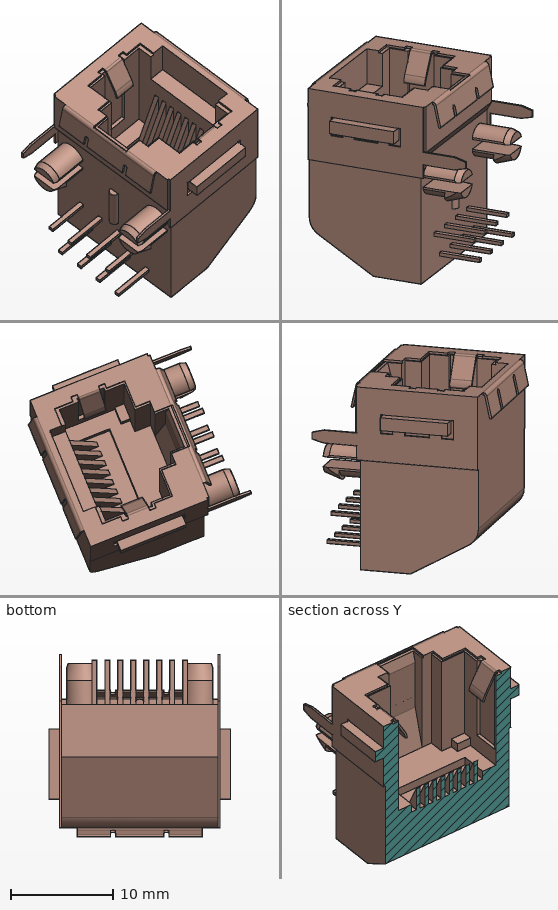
import cadquery as cq
import math


HEIGHT = 18.67
HALF_WIDTH = 7.65
BACK_Y = 12.08
UPPER_FRONT_Y = -0.5
UPPER_FRONT_BOTTOM = HEIGHT - 4.8
STEP_SLOPE = 30.0
BOTTOM_BACK_Y = 5.13
BOTTOM_SLOPE = 30.0
BACK_CORNER_RADIUS = 2.0

SHEET = 0.22
SHIELD_HALF_WIDTH = HALF_WIDTH + SHEET
SHIELD_BOTTOM = HEIGHT - 7.45
SHIELD_FRONT_Y = -0.32
SHEET_MID_Z = HEIGHT - SHEET / 2
SHEET_UNDERSIDE = HEIGHT - SHEET

CAVITY_HALF_WIDTH = 5.97
CAVITY_FRONT_Y = 2.91
CAVITY_BACK_Y = 9.75
FLOOR_Z = 7.47
KEYWAY_HALF_WIDTH = 3.17
KEYWAY_FRONT_Y = 1.25
OPENING_MARGIN = 0.22
OPENING_BACK_Y = 10.15
OPENING_FRONT_Y = 2.76
RECESS_HALF_WIDTH = 4.37
RECESS_BACK_Y = 11.43
RECESS_DEPTH = 3.65
CORNER_BLOCK_BACK_Y = 3.9
CORNER_BLOCK_HEIGHT = 0.93

LATCH_HALF_WIDTH = 2.04
LATCH_FRONT_Y = -0.19
LATCH_SLOPE = 14.7
LATCH_LAND_Y = 0.13
LATCH_SHEET_HALF_WIDTH = 2.22
LATCH_SHEET_FRONT_Y = -0.67

CONTACT_COUNT = 8
CONTACT_PITCH = 1.015
CONTACT_WIDTH = 0.5
CONTACT_TOP_Z = HEIGHT - 5.62
CONTACT_FRONT_Y = 6.7
CONTACT_PIT_FRONT_Y = 5.1
CONTACT_PIT_Z = 6.53

FINGER_FRONT_Y = 5.34
FINGER_BACK_Y = 7.58
FINGER_ROOT_X = 6.37
FINGER_ROOT_BEND = 0.17
FINGER_TIP_X = 4.76
FINGER_ANGLE = 30.0
FINGER_BEND = 1.87
FINGER_TIP_ANGLE = 8.0
FINGER_POCKET_X = 6.35
FINGER_POCKET_FRONT_Y = 4.91
FINGER_POCKET_BACK_Y = 7.73
FINGER_POCKET_Z = 9.34
RELIEF_X = 6.68
RELIEF_LENGTH = 0.65

FLAP_HALF_WIDTH = 6.15
FLAP_ROOT_Y = -0.5
FLAP_BEND = 0.32
FLAP_ANGLE = 12.5
FLAP_DEPTH = 2.63
FLAP_NOTCH_X = 2.61
FLAP_NOTCH_WIDTH = 0.49
FRONT_NOTCH_DEPTH = 1.45
BACK_NOTCH_DEPTH = 0.56
MIDDLE_Y = (BACK_Y + UPPER_FRONT_Y) / 2

BAR_X = 8.89
BAR_FRONT_Y = 2.39
BAR_BACK_Y = 9.3
BAR_TOP = HEIGHT - 2.63
BAR_BOTTOM = HEIGHT - 3.94
WINDOW_FRONT_Y = 2.13
WINDOW_BACK_Y = 9.6
WINDOW_BOTTOM = HEIGHT - 4.55
BRIDGE_WIDTH = 1.25
BRIDGE_OFFSET = 1.89

TANG_TIP_Y = -4.9
TANG_TAPER_Y = -3.7
TANG_TOP = HEIGHT - 4.7
TANG_BOTTOM = HEIGHT - 6.01
TANG_TIP_INSET = 0.32

PEG_X = 5.71
PEG_Z = 10.53
PEG_RADIUS = 1.62
PEG_HALF_WIDTH = 1.45
PEG_LENGTH = 4.01
PEG_GAP = 1.03
BARB_START = 2.32
BARB_RADIUS = 1.96
PEG_TIP_RADIUS = 1.4

RIB_RADIUS = 0.52
RIB_CENTRE_Y = 0.02
RIB_TOP = HEIGHT - 8.66
RIB_BOTTOM = HEIGHT - 13.22

PIN_LENGTH = 4.33
PIN_WIDTH = 0.5
PIN_HEIGHT = 0.35
PIN_PITCH = 1.27
PIN_ROW_Z = (4.2, 1.68)

ROOT = 0.19


def block(x0, x1, y0, y1, z0, z1):
    """Box between two opposite corners."""
    return cq.Workplane("XY").box(x1 - x0, y1 - y0, z1 - z0, centered=False).translate((x0, y0, z0))


def wide_block(half_width, y0, y1, z0, z1):
    """Box centred on X = 0."""
    return block(-half_width, half_width, y0, y1, z0, z1)


def both_sides(shape):
    """The shape together with its mirror image in X."""
    return shape.union(shape.mirror("YZ"))


def side_profile(points, half_width):
    """Closed (y, z) outline extruded evenly to both sides of X = 0."""
    return cq.Workplane("YZ").polyline(points).close().extrude(half_width, both=True)


def make_housing():
    step_drop = -UPPER_FRONT_Y / math.tan(math.radians(STEP_SLOPE))
    back_corner_z = (BACK_Y - BOTTOM_BACK_Y) * math.tan(math.radians(BOTTOM_SLOPE))
    outline = [
        (0, 0),
        (BOTTOM_BACK_Y, 0),
        (BACK_Y, back_corner_z),
        (BACK_Y, HEIGHT),
        (UPPER_FRONT_Y, HEIGHT),
        (UPPER_FRONT_Y, UPPER_FRONT_BOTTOM),
        (0, UPPER_FRONT_BOTTOM - step_drop),
    ]
    housing = side_profile(outline, HALF_WIDTH)
    back_corner = cq.selectors.NearestToPointSelector((0, BACK_Y, back_corner_z))
    return housing.edges(back_corner).fillet(BACK_CORNER_RADIUS)


def make_shield_sides():
    plate = block(HALF_WIDTH, SHIELD_HALF_WIDTH, SHIELD_FRONT_Y, BACK_Y, SHIELD_BOTTOM, HEIGHT)
    window = block(HALF_WIDTH, SHIELD_HALF_WIDTH, WINDOW_FRONT_Y, WINDOW_BACK_Y, WINDOW_BOTTOM, BAR_TOP)
    plate = plate.cut(window)
    window_middle = (WINDOW_FRONT_Y + WINDOW_BACK_Y) / 2
    for side in (-1, 1):
        y = window_middle + side * BRIDGE_OFFSET
        plate = plate.union(block(HALF_WIDTH - ROOT, SHIELD_HALF_WIDTH, y - BRIDGE_WIDTH / 2,
                                  y + BRIDGE_WIDTH / 2, WINDOW_BOTTOM, BAR_BOTTOM))
    bar = block(HALF_WIDTH - ROOT, BAR_X, BAR_FRONT_Y, BAR_BACK_Y, BAR_BOTTOM, BAR_TOP)
    return both_sides(plate.union(bar))


def make_tangs():
    outline = [
        (SHIELD_FRONT_Y + ROOT, TANG_BOTTOM),
        (TANG_TAPER_Y, TANG_BOTTOM),
        (TANG_TIP_Y, TANG_BOTTOM + TANG_TIP_INSET),
        (TANG_TIP_Y, TANG_TOP - TANG_TIP_INSET),
        (TANG_TAPER_Y, TANG_TOP),
        (SHIELD_FRONT_Y + ROOT, TANG_TOP),
    ]
    tang = cq.Workplane("YZ", origin=(HALF_WIDTH, 0, 0)).polyline(outline).close().extrude(SHEET)
    return both_sides(tang)


def make_flap_notch(depth):
    """Round-topped notch cutter for the front flap, its top at the given depth below the shield top."""
    radius = FLAP_NOTCH_WIDTH / 2
    centre_z = HEIGHT - depth - radius
    bottom_z = HEIGHT - FLAP_DEPTH - ROOT
    return (
        cq.Workplane("XZ", origin=(FLAP_NOTCH_X, UPPER_FRONT_Y, 0))
        .moveTo(-radius, bottom_z)
        .lineTo(-radius, centre_z)
        .threePointArc((0, centre_z + radius), (radius, centre_z))
        .lineTo(radius, bottom_z)
        .close()
        .extrude(FLAP_DEPTH)
    )


def make_flaps():
    """Spring flaps that curl over the front and back top edges of the shield."""
    angle = math.radians(FLAP_ANGLE)
    bend_z = SHEET_MID_Z - FLAP_BEND

    def on_bend(a):
        return (FLAP_ROOT_Y - FLAP_BEND * math.cos(a), bend_z + FLAP_BEND * math.sin(a))

    bend_end = on_bend(angle)
    tip_z = HEIGHT - FLAP_DEPTH + SHEET / 2
    tip_y = bend_end[0] - (bend_end[1] - tip_z) * math.tan(angle)
    flap = (
        cq.Workplane("YZ", origin=(-FLAP_HALF_WIDTH, 0, 0))
        .moveTo(UPPER_FRONT_Y + ROOT, SHEET_MID_Z)
        .lineTo(FLAP_ROOT_Y, SHEET_MID_Z)
        .threePointArc(on_bend((angle + math.pi / 2) / 2), bend_end)
        .lineTo(tip_y, tip_z)
        .offset2D(SHEET / 2)
        .extrude(2 * FLAP_HALF_WIDTH)
    )
    front_flap = flap.cut(both_sides(make_flap_notch(FRONT_NOTCH_DEPTH)))
    back_flap = flap.cut(both_sides(make_flap_notch(BACK_NOTCH_DEPTH))).mirror("XZ", (0, MIDDLE_Y, 0))
    return front_flap.union(back_flap)


def make_cavity():
    """Plug cavity below the shield, with its keyway, contact recesses and latch slot."""
    cavity = wide_block(CAVITY_HALF_WIDTH, CAVITY_FRONT_Y, CAVITY_BACK_Y, FLOOR_Z, HEIGHT)
    corner = block(RECESS_HALF_WIDTH, CAVITY_HALF_WIDTH, CAVITY_FRONT_Y, CORNER_BLOCK_BACK_Y,
                   FLOOR_Z, FLOOR_Z + CORNER_BLOCK_HEIGHT)
    cavity = cavity.cut(both_sides(corner))
    keyway = wide_block(KEYWAY_HALF_WIDTH, KEYWAY_FRONT_Y, CAVITY_FRONT_Y, FLOOR_Z, HEIGHT)
    recess = wide_block(RECESS_HALF_WIDTH, CAVITY_BACK_Y, RECESS_BACK_Y, HEIGHT - RECESS_DEPTH, HEIGHT)
    pit = wide_block(RECESS_HALF_WIDTH, CONTACT_PIT_FRONT_Y, CAVITY_BACK_Y, CONTACT_PIT_Z, FLOOR_Z)
    pocket = wide_block(FINGER_POCKET_X, FINGER_POCKET_FRONT_Y, FINGER_POCKET_BACK_Y,
                        FINGER_POCKET_Z, SHEET_UNDERSIDE)
    slope = math.tan(math.radians(LATCH_SLOPE))
    land_top_z = SHEET_UNDERSIDE - (LATCH_LAND_Y - LATCH_FRONT_Y) / slope
    land_bottom_z = FLOOR_Z + (KEYWAY_FRONT_Y - LATCH_LAND_Y) / slope
    latch_outline = [
        (KEYWAY_FRONT_Y, FLOOR_Z),
        (LATCH_LAND_Y, land_bottom_z),
        (LATCH_LAND_Y, land_top_z),
        (LATCH_FRONT_Y, SHEET_UNDERSIDE),
        (KEYWAY_FRONT_Y, SHEET_UNDERSIDE),
    ]
    latch = side_profile(latch_outline, LATCH_HALF_WIDTH)
    for part in (keyway, recess, pit, pocket, latch):
        cavity = cavity.union(part)
    return cavity


def make_shield_opening():
    """Opening through the top sheet only, slightly larger than the cavity."""
    half_width = CAVITY_HALF_WIDTH + OPENING_MARGIN
    z_range = (SHEET_UNDERSIDE, HEIGHT)
    opening = wide_block(half_width, OPENING_FRONT_Y, OPENING_BACK_Y, *z_range)
    keyway = wide_block(KEYWAY_HALF_WIDTH + OPENING_MARGIN, KEYWAY_FRONT_Y, OPENING_FRONT_Y, *z_range)
    latch = wide_block(LATCH_SHEET_HALF_WIDTH, LATCH_SHEET_FRONT_Y, KEYWAY_FRONT_Y, *z_range)
    front_relief = wide_block(RELIEF_X, FINGER_FRONT_Y - RELIEF_LENGTH, FINGER_FRONT_Y, *z_range)
    back_relief = wide_block(RELIEF_X, FINGER_BACK_Y, FINGER_BACK_Y + RELIEF_LENGTH, *z_range)
    finger_gap = wide_block(FINGER_ROOT_X, FINGER_FRONT_Y, FINGER_BACK_Y, *z_range)
    for part in (keyway, latch, front_relief, back_relief, finger_gap):
        opening = opening.union(part)
    return opening


def make_fingers():
    """Spring fingers sloping into the cavity and steepening towards the tip."""
    angle = math.radians(FINGER_ANGLE)
    tip_angle = math.radians(FINGER_TIP_ANGLE)
    root_centre_z = SHEET_MID_Z - FINGER_ROOT_BEND

    def on_root_bend(a):
        x = FINGER_ROOT_X - FINGER_ROOT_BEND * math.cos(a)
        return (x, root_centre_z + FINGER_ROOT_BEND * math.sin(a))

    slope_top_x, slope_top_z = on_root_bend(angle)
    slope_bottom_x = FINGER_TIP_X + FINGER_BEND * (1 - math.cos(angle))
    slope_bottom_z = slope_top_z - (slope_top_x - slope_bottom_x) / math.tan(angle)
    tip_centre_z = slope_bottom_z - FINGER_BEND * math.sin(angle)

    def on_tip_bend(a):
        x = FINGER_TIP_X + FINGER_BEND * (1 - math.cos(a))
        return (x, tip_centre_z + FINGER_BEND * math.sin(a))

    finger = (
        cq.Workplane("XZ", origin=(0, FINGER_BACK_Y, 0))
        .moveTo(RELIEF_X, SHEET_MID_Z)
        .lineTo(FINGER_ROOT_X, SHEET_MID_Z)
        .threePointArc(on_root_bend((angle + math.pi / 2) / 2), on_root_bend(angle))
        .lineTo(slope_bottom_x, slope_bottom_z)
        .threePointArc(on_tip_bend((angle + tip_angle) / 2), on_tip_bend(tip_angle))
        .offset2D(SHEET / 2)
        .extrude(FINGER_BACK_Y - FINGER_FRONT_Y)
    )
    return both_sides(finger)


def make_contacts():
    """Contact blades sloping from the back wall of the cavity down into the pit."""
    outline = [
        (CAVITY_BACK_Y, CONTACT_TOP_Z),
        (CAVITY_BACK_Y + ROOT, CONTACT_TOP_Z),
        (CAVITY_BACK_Y + ROOT, CONTACT_PIT_Z - ROOT),
        (CONTACT_FRONT_Y, CONTACT_PIT_Z - ROOT),
        (CONTACT_FRONT_Y, CONTACT_PIT_Z),
    ]
    blade = side_profile(outline, CONTACT_WIDTH / 2)
    contacts = cq.Workplane("XY")
    for i in range(CONTACT_COUNT):
        contacts = contacts.add(blade.translate(((i - (CONTACT_COUNT - 1) / 2) * CONTACT_PITCH, 0, 0)))
    return contacts.combine()


def make_pegs():
    """Split pegs: a plain upper half, and a lower half with a snap barb."""
    half_outline = [
        (0, -ROOT),
        (PEG_RADIUS, -ROOT),
        (PEG_RADIUS, BARB_START),
        (BARB_RADIUS, BARB_START),
        (PEG_TIP_RADIUS, PEG_LENGTH),
        (0, PEG_LENGTH),
    ]
    barbed = cq.Workplane("XY").polyline(half_outline).close().revolve(360, (0, 0, 0), (0, 1, 0))
    barbed = barbed.rotate((0, 0, 0), (1, 0, 0), 180)
    shank = cq.Workplane("XZ", origin=(0, ROOT, 0)).circle(PEG_RADIUS).extrude(PEG_LENGTH + ROOT)
    lower_half = wide_block(PEG_HALF_WIDTH, -PEG_LENGTH, ROOT, -BARB_RADIUS, -PEG_GAP / 2)
    upper_half = wide_block(PEG_HALF_WIDTH, -PEG_LENGTH, ROOT, PEG_GAP / 2, BARB_RADIUS)
    peg = barbed.intersect(lower_half).union(barbed.intersect(shank).intersect(upper_half))
    return both_sides(peg.translate((PEG_X, 0, PEG_Z)))


def make_rib():
    base = cq.Workplane("XY", origin=(0, RIB_CENTRE_Y, RIB_BOTTOM))
    return base.circle(RIB_RADIUS).extrude(RIB_TOP - RIB_BOTTOM)


def make_pins():
    pins = cq.Workplane("XY")
    for i in range(CONTACT_COUNT):
        x = (i - (CONTACT_COUNT - 1) / 2) * PIN_PITCH
        pin = cq.Workplane("XY").box(PIN_WIDTH, PIN_LENGTH + ROOT, PIN_HEIGHT)
        pins = pins.add(pin.translate((x, (ROOT - PIN_LENGTH) / 2, PIN_ROW_Z[i % 2])))
    return pins.combine()


body = make_housing().union(make_shield_sides()).union(make_flaps())
body = body.cut(make_cavity()).cut(make_shield_opening())
for feature in (make_fingers(), make_contacts(), make_tangs(), make_pegs(), make_rib(), make_pins()):
    body = body.union(feature)
result = body